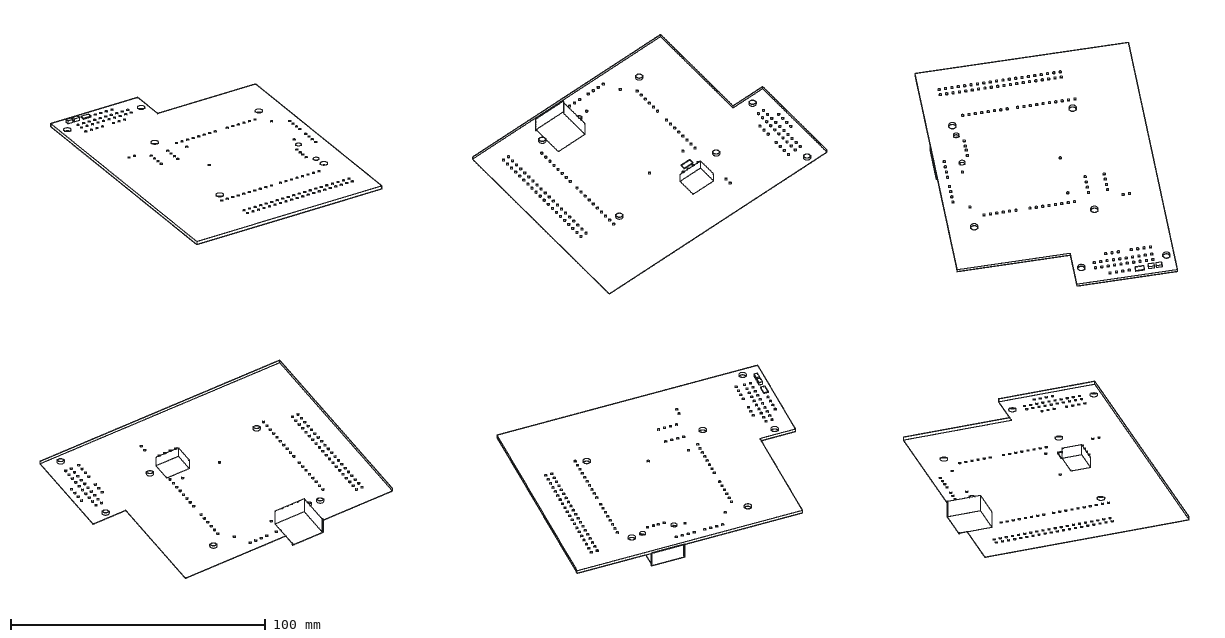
import cadquery as cq


BOARD_LENGTH = 110.2
BOARD_WIDTH = 85.2
BOARD_THICKNESS = 1.4
TAB_LENGTH = 15.0
TAB_WIDTH = 40.1

EDGE_HEADER_PINS = 20
EDGE_HEADER_SPAN = 48.3
PIN_PITCH = EDGE_HEADER_SPAN / (EDGE_HEADER_PINS - 1)
PIN_HOLE_DIAMETER = 0.9
USB_PIN_HOLE_DIAMETER = 0.92
USB_SHIELD_HOLE_DIAMETER = 2.3
MOUNTING_HOLE_DIAMETER = 3.0

MAIN_MOUNT_LEFT_X = 34.1
MAIN_MOUNT_RIGHT_X = 83.1
MAIN_MOUNT_FRONT_Y = 27.1
MAIN_MOUNT_BACK_Y = 75.1
TAB_MOUNT_X = 7.6
TAB_MOUNT_FRONT_Y = 3.1
TAB_MOUNT_BACK_Y = 37.0

IC_ROW_X = 42.5
IC_FRONT_ROW_Y = 20.4
IC_ROW_SPACING = 7.6
IC_PINS_PER_ROW = 4
BACK_ROW_Y = 81.3
PIN_ROWS_ALONG_X = [
    (47.2, BACK_ROW_Y, 4),
    (59.2, BACK_ROW_Y, 4),
    (IC_ROW_X, IC_FRONT_ROW_Y, IC_PINS_PER_ROW),
    (IC_ROW_X, IC_FRONT_ROW_Y + IC_ROW_SPACING, IC_PINS_PER_ROW),
]

MODULE_LEFT_X = 39.0
MODULE_RIGHT_X = 87.3
EDGE_HEADER_X = 98.6
EDGE_HEADER_Y = 28.9
TAB_HEADER_X = 6.5
TAB_HEADER_Y = 8.7
TAB_HEADER_PINS = 10
PIN_COLUMNS_ALONG_Y = [
    (MODULE_LEFT_X, 57.5, 6),
    (MODULE_LEFT_X, 34.2, 8),
    (MODULE_RIGHT_X, 52.5, 8),
    (MODULE_RIGHT_X, 25.5, 10),
    (EDGE_HEADER_X, EDGE_HEADER_Y, EDGE_HEADER_PINS),
    (EDGE_HEADER_X + PIN_PITCH, EDGE_HEADER_Y, EDGE_HEADER_PINS),
    (TAB_HEADER_X, TAB_HEADER_Y, TAB_HEADER_PINS),
    (TAB_HEADER_X + PIN_PITCH, TAB_HEADER_Y, TAB_HEADER_PINS),
    (3.1, 18.7, 4),
    (12.5, 21.4, 3),
    (12.6, 8.6, 4),
    (39.1, 12.2, 2),
]

POST_LEFT_X = 43.7
POST_RIGHT_X = 60.6
POST_FRONT_Y = 36.0
POST_BACK_Y = 75.1

USB_CENTER_X = 71.7
USB_BODY_WIDTH = 13.5
USB_FLANGE_WIDTH = 14.2
USB_FLANGE_THICKNESS = 0.4
USB_LENGTH = 13.9
USB_BACK_Y = 84.8
USB_HEIGHT = 7.1
USB_SHIELD_HOLE_SPACING = 13.2
USB_SHIELD_HOLE_Y = 74.4
USB_PIN_Y = 71.8
USB_INNER_PIN_SPACING = 2.0
USB_OUTER_PIN_SPACING = 7.1

IC_CENTER_X = IC_ROW_X + (IC_PINS_PER_ROW - 1) * PIN_PITCH / 2
IC_CENTER_Y = IC_FRONT_ROW_Y + IC_ROW_SPACING / 2
IC_LENGTH = 10.4
IC_WIDTH = 8.2
IC_HEIGHT = 4.6
IC_STANDOFF = 0.4

FLAT_CHIP_LENGTH = 4.4
FLAT_CHIP_WIDTH = 2.0
FLAT_CHIP_HEIGHT = 0.4
FLAT_CHIP_Y = 30.3

LED_LENGTH = 1.9
LED_WIDTH = 3.5
LED_HEIGHT = 0.4
LED_X = 3.0
LED_Y = 14.5
CAPACITOR_LENGTH = 1.4
CAPACITOR_WIDTH = 2.3
CAPACITOR_HEIGHT = 1.3
CAPACITOR_X = 3.1
CAPACITOR_YS = [6.8, 9.9]


def centered_box(length, width, height, x, y, bottom_z):
    """A box centred on (x, y) that stands on the height bottom_z."""
    box = cq.Workplane("XY").box(length, width, height, centered=(True, True, False))
    return box.translate((x, y, bottom_z))


def corner_points(left_x, right_x, front_y, back_y):
    """The four corners of a rectangle."""
    return [(x, y) for x in (left_x, right_x) for y in (front_y, back_y)]


def pin_points():
    """Centres of all the ordinary pin holes."""
    points = corner_points(POST_LEFT_X, POST_RIGHT_X, POST_FRONT_Y, POST_BACK_Y)
    for first_x, y, count in PIN_ROWS_ALONG_X:
        points += [(first_x + i * PIN_PITCH, y) for i in range(count)]
    for x, first_y, count in PIN_COLUMNS_ALONG_Y:
        points += [(x, first_y + i * PIN_PITCH) for i in range(count)]
    return points


def usb_points(spacings, y):
    """Pairs of points spread evenly about the middle of the USB socket."""
    return [(USB_CENTER_X + side * spacing / 2, y) for spacing in spacings for side in (-1, 1)]


def mounting_points():
    """Centres of the screw holes."""
    main = corner_points(MAIN_MOUNT_LEFT_X, MAIN_MOUNT_RIGHT_X, MAIN_MOUNT_FRONT_Y, MAIN_MOUNT_BACK_Y)
    return main + [(TAB_MOUNT_X, TAB_MOUNT_FRONT_Y), (TAB_MOUNT_X, TAB_MOUNT_BACK_Y)]


def make_board():
    """L-shaped plate with all of its through holes."""
    outline = [
        (0, 0),
        (BOARD_LENGTH, 0),
        (BOARD_LENGTH, BOARD_WIDTH),
        (TAB_LENGTH, BOARD_WIDTH),
        (TAB_LENGTH, TAB_WIDTH),
        (0, TAB_WIDTH),
    ]
    hole_groups = [
        (PIN_HOLE_DIAMETER, pin_points()),
        (USB_PIN_HOLE_DIAMETER, usb_points([USB_INNER_PIN_SPACING, USB_OUTER_PIN_SPACING], USB_PIN_Y)),
        (USB_SHIELD_HOLE_DIAMETER, usb_points([USB_SHIELD_HOLE_SPACING], USB_SHIELD_HOLE_Y)),
        (MOUNTING_HOLE_DIAMETER, mounting_points()),
    ]
    board = cq.Workplane("XY").polyline(outline).close().extrude(BOARD_THICKNESS)
    for diameter, points in hole_groups:
        holes = cq.Workplane("XY").pushPoints(points).circle(diameter / 2).extrude(BOARD_THICKNESS)
        board = board.cut(holes)
    return board


def make_usb_socket():
    """Plain housing with a slightly wider flange around its mouth."""
    front_y = USB_BACK_Y - USB_LENGTH
    body = centered_box(
        USB_BODY_WIDTH, USB_LENGTH, USB_HEIGHT, USB_CENTER_X, front_y + USB_LENGTH / 2, -USB_HEIGHT
    )
    flange_y = USB_BACK_Y - USB_FLANGE_THICKNESS / 2
    flange = centered_box(
        USB_FLANGE_WIDTH, USB_FLANGE_THICKNESS, USB_HEIGHT, USB_CENTER_X, flange_y, -USB_HEIGHT
    )
    return body.union(flange)


def make_ic():
    """Plain IC package held a little below the board."""
    return centered_box(IC_LENGTH, IC_WIDTH, IC_HEIGHT, IC_CENTER_X, IC_CENTER_Y, -IC_STANDOFF - IC_HEIGHT)


def make_flat_chip():
    """Thin plate against the bottom face of the board."""
    return centered_box(
        FLAT_CHIP_LENGTH, FLAT_CHIP_WIDTH, FLAT_CHIP_HEIGHT, IC_CENTER_X, FLAT_CHIP_Y, -FLAT_CHIP_HEIGHT
    )


def make_led():
    """Thin block on top of the tab."""
    return centered_box(LED_LENGTH, LED_WIDTH, LED_HEIGHT, LED_X, LED_Y, BOARD_THICKNESS)


def make_capacitor(y):
    """Small block on top of the tab, centred on the given Y."""
    return centered_box(
        CAPACITOR_LENGTH, CAPACITOR_WIDTH, CAPACITOR_HEIGHT, CAPACITOR_X, y, BOARD_THICKNESS
    )


board = make_board()
usb_socket = make_usb_socket()
ic = make_ic()
flat_chip = make_flat_chip()
led = make_led()
capacitors = [make_capacitor(y) for y in CAPACITOR_YS]

result = cq.Compound.makeCompound(
    [
        board.val(),
        usb_socket.val(),
        ic.val(),
        flat_chip.val(),
        led.val(),
        *[capacitor.val() for capacitor in capacitors],
    ]
)